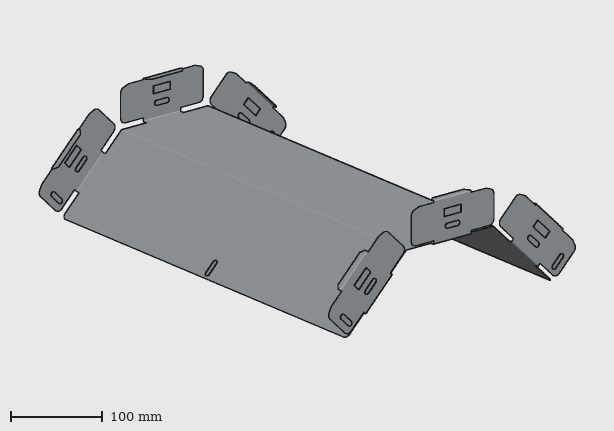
import cadquery as cq
import math

LENGTH = 505.0
SHEET = 0.5
PAD_RISE = 0.25
OUTER_BEND = 1.5
INNER_BEND = OUTER_BEND - SHEET

WING_ANGLE = 45.0
PANEL_HALF_LENGTH = 247.0
FOLD_Y = 61.0
WING_WIDTH = 118.0
WING_CORNER = 6.0
FOLD_RADIUS = 2.5

MIDDLE_FLAP_X = LENGTH / 2 - PAD_RISE
WING_FLAP_INSET = 1.0
WING_FLAP_X = MIDDLE_FLAP_X - WING_FLAP_INSET
WING_FLAP_CENTER = 58.0
FLAP_WIDTH = 116.0
FLAP_BOTTOM = 4.0
FLAP_TOP = 48.5
FLAP_SHOULDER = 47.0
SHOULDER_DROP = 4.0
TOP_CORNER = 6.5
BOTTOM_CORNER = 6.5

STRIP_WIDTH = 52.5
STRIP_TOP = 50.5
TAB_REACH = 9.0
TAB_CHAMFER = 4.5

SLOT_LENGTH = 20.0
SLOT_WIDTH = 6.0
WINDOW_WIDTH = 23.5
WINDOW_HEIGHT = 9.0
WINDOW_Z = 33.5
SLOT_Z = 17.0
END_SLOT_Z = 19.0
EDGE_SLOT_Y = 104.5
PAD_THICKNESS = SHEET + 2 * PAD_RISE


def box_between(x0, x1, y0, y1, z0, z1):
    return cq.Workplane("XY").box(x1 - x0, y1 - y0, z1 - z0, centered=False).translate((x0, y0, z0))


def place_on_wing(body):
    """Move a body from level, with the fold at Y = 0, onto the +Y wing."""
    return body.rotate((0, 0, 0), (1, 0, 0), -WING_ANGLE).translate((0, FOLD_Y, 0))


def folded_panel():
    slope = math.radians(WING_ANGLE)
    run = WING_WIDTH * math.cos(slope)
    drop = WING_WIDTH * math.sin(slope)
    under_shift_y = SHEET * math.sin(slope)
    under_shift_z = SHEET * math.cos(slope)
    under_fold_y = FOLD_Y - SHEET * math.tan(slope / 2)
    edge_y = FOLD_Y + run
    section = [
        (-edge_y, -drop),
        (-FOLD_Y, 0),
        (FOLD_Y, 0),
        (edge_y, -drop),
        (edge_y - under_shift_y, -drop - under_shift_z),
        (under_fold_y, -SHEET),
        (-under_fold_y, -SHEET),
        (-edge_y + under_shift_y, -drop - under_shift_z),
    ]
    panel = cq.Workplane("YZ").polyline(section).close().extrude(PANEL_HALF_LENGTH, both=True)
    for side in (-1, 1):
        top_fold = cq.selectors.NearestToPointSelector((0, side * FOLD_Y, 0))
        panel = panel.edges("|X").edges(top_fold).fillet(FOLD_RADIUS)
        under_fold = cq.selectors.NearestToPointSelector((0, side * under_fold_y, -SHEET))
        panel = panel.edges("|X").edges(under_fold).fillet(FOLD_RADIUS - SHEET)
    for end in (-1, 1):
        for side in (-1, 1):
            corner = cq.selectors.NearestToPointSelector((
                end * PANEL_HALF_LENGTH,
                side * (edge_y - under_shift_y / 2),
                -drop - under_shift_z / 2,
            ))
            panel = panel.edges(corner).fillet(WING_CORNER)
    return panel


def flap_plate(outer_x):
    """Flat flap with a level top edge that slopes down at both ends."""
    half = FLAP_WIDTH / 2
    outline = [
        (-half, FLAP_BOTTOM),
        (half, FLAP_BOTTOM),
        (half, FLAP_TOP - SHOULDER_DROP),
        (FLAP_SHOULDER, FLAP_TOP),
        (-FLAP_SHOULDER, FLAP_TOP),
        (-half, FLAP_TOP - SHOULDER_DROP),
    ]
    plate = cq.Workplane("YZ").workplane(offset=outer_x - SHEET).polyline(outline).close().extrude(SHEET)
    for side in ("<Y", ">Y"):
        plate = plate.faces(side).edges("|X and <Z").fillet(BOTTOM_CORNER)
        plate = plate.faces(side).edges("|X and >Z").fillet(TOP_CORNER)
    return plate


def bent_strip(outer_x):
    """C-shaped strip; its chamfered lower leg is buried in the panel, its upper leg is the tab."""
    start_x = outer_x - TAB_REACH
    half = STRIP_WIDTH / 2
    strip = box_between(start_x, outer_x, -half, half, -SHEET, STRIP_TOP)
    strip = strip.edges("|Z and <X").chamfer(TAB_CHAMFER)
    strip = strip.edges("|Y and >X").fillet(OUTER_BEND)
    hollow = box_between(start_x - SHEET, outer_x - SHEET, -half, half, 0, STRIP_TOP - SHEET)
    hollow = hollow.edges("|Y and >X").fillet(INNER_BEND)
    return strip.cut(hollow)


def flap_pad(outer_x, y, z):
    """Workplane for a pad centred in the thickness of a flap."""
    start_x = outer_x - SHEET - PAD_RISE
    return cq.Workplane("YZ").workplane(offset=start_x).center(y, z)


def end_flap(outer_x):
    """Flap at the +X end, centred on Y = 0."""
    window = flap_pad(outer_x, 0, WINDOW_Z).rect(WINDOW_WIDTH, WINDOW_HEIGHT).extrude(PAD_THICKNESS)
    slot = flap_pad(outer_x, 0, SLOT_Z).slot2D(SLOT_LENGTH, SLOT_WIDTH).extrude(PAD_THICKNESS)
    return flap_plate(outer_x).union(bent_strip(outer_x)).union(window).union(slot)


def wing_flap():
    """End flap of a wing, with one more slot pad near the free edge."""
    flap = end_flap(WING_FLAP_X).translate((0, WING_FLAP_CENTER, 0))
    pad = flap_pad(WING_FLAP_X, EDGE_SLOT_Y, END_SLOT_Z)
    end_slot = pad.slot2D(SLOT_LENGTH, SLOT_WIDTH, 90).extrude(PAD_THICKNESS)
    return place_on_wing(flap.union(end_slot))


def wing_panel_pad():
    """Slot pad at mid-length near the free edge of the wing."""
    base = cq.Workplane("XY").workplane(offset=-SHEET - PAD_RISE).center(0, EDGE_SLOT_Y)
    return place_on_wing(base.slot2D(SLOT_LENGTH, SLOT_WIDTH, 90).extrude(PAD_THICKNESS))


result = folded_panel()

middle_flap = end_flap(MIDDLE_FLAP_X)
result = result.union(middle_flap).union(middle_flap.mirror("YZ"))

side_flap = wing_flap()
panel_pad = wing_panel_pad()
for feature in (side_flap, side_flap.mirror("YZ"), panel_pad):
    result = result.union(feature).union(feature.mirror("XZ"))